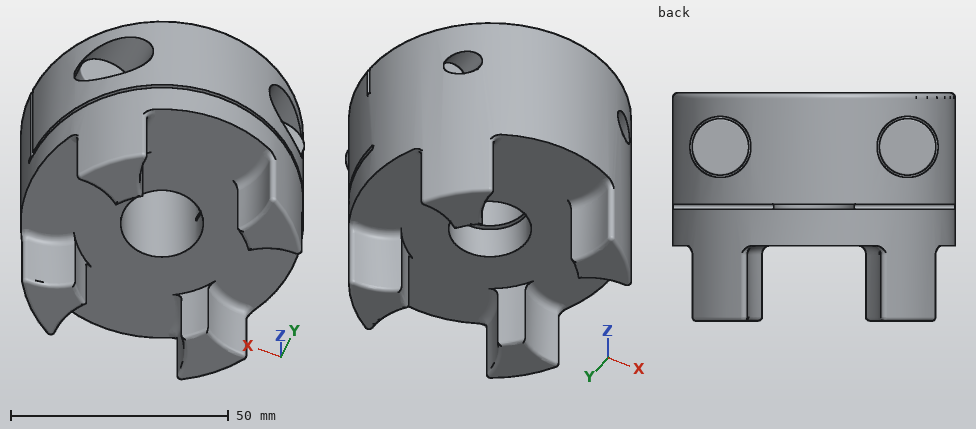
import cadquery as cq
import math

hub_radius = 32.5
total_height = 52.5
rim_fillet = 1.3
bore_radius = 9.5
bore_chamfer = 0.7

jaw_count = 4
jaw_height = 17.3
jaw_inner_radius = 20.4
lobe_radius = 15.35
lobe_center_distance = 26.25
jaw_corner_fillet = 1.0
jaw_tip_fillet = 0.9
jaw_root_fillet = 1.95
flange_radius = hub_radius + 2 * jaw_root_fillet

slot_width = 1.2
slit_z = 26.3
slit_end_y = -2.0
saw_center_x = 5.2
saw_edge_depth = 8.3

screw_x = 21.5
screw_z = total_height - 12.5
shank_radius = 4.0
head_radius = 6.5
head_length = 8.0
head_edge_fillet = 0.4
head_top_y = 18.15
head_seat_y = head_top_y - head_length
screw_end_y = -19.5

counterbore_radius = 7.0
tapped_hole_radius = 3.4


def y_cylinder(radius, x, y_start, y_end):
    """Cylinder parallel to Y at screw height, running from y_start down to y_end."""
    return (
        cq.Workplane("XZ", origin=(x, y_start, screw_z))
        .circle(radius)
        .extrude(y_start - y_end)
    )


def make_jaw_star():
    """Disc with the round lobe gaps cut out; its arms become the jaws."""
    lobes = (
        cq.Workplane("XY")
        .polarArray(lobe_center_distance, 0, 360, jaw_count)
        .circle(lobe_radius)
        .extrude(jaw_height)
    )
    return (
        cq.Workplane("XY")
        .circle(hub_radius)
        .extrude(jaw_height)
        .cut(lobes)
        .edges("|Z")
        .fillet(jaw_corner_fillet)
    )


def make_hub_blank():
    """Solid hub with its four finished jaws, before the bore, slots and screw holes."""
    flange = (
        cq.Workplane("XY", origin=(0, 0, jaw_height))
        .circle(flange_radius)
        .extrude(total_height - jaw_height)
    )

    selection_margin = 0.05
    reach = (hub_radius + flange_radius) / 2
    root_edges = cq.selectors.BoxSelector(
        (-reach, -reach, jaw_height - selection_margin),
        (reach, reach, jaw_height + selection_margin),
        boundingbox=True,
    )
    blank = flange.union(make_jaw_star()).edges(root_edges).fillet(jaw_root_fillet)

    envelope = (
        cq.Workplane("XY")
        .circle(hub_radius)
        .extrude(total_height)
        .faces(">Z")
        .edges()
        .fillet(rim_fillet)
    )
    recess = cq.Workplane("XY").circle(jaw_inner_radius).extrude(jaw_height)
    return (
        blank.intersect(envelope)
        .cut(recess)
        .faces("<Z")
        .edges()
        .fillet(jaw_tip_fillet)
    )


def make_bore():
    """Through bore with a chamfer at the top face."""
    chamfer_bottom = total_height - bore_chamfer
    return (
        cq.Workplane("XZ")
        .lineTo(bore_radius, 0)
        .lineTo(bore_radius, chamfer_bottom)
        .lineTo(bore_radius + bore_chamfer, total_height)
        .lineTo(0, total_height)
        .close()
        .revolve(360, (0, 0, 0), (0, 1, 0))
    )


def make_vertical_slot():
    """Slot on the XZ plane, open into the slit at +X and ending in the saw's arc at -X."""
    edge_z = total_height - saw_edge_depth
    arc_run = saw_center_x + hub_radius
    arc_rise = edge_z - slit_z
    saw_radius = (arc_run**2 + arc_rise**2) / (2 * arc_rise)
    half_angle = math.asin(arc_run / saw_radius) / 2
    arc_middle = (
        saw_center_x - saw_radius * math.sin(half_angle),
        slit_z + saw_radius * (1 - math.cos(half_angle)),
    )
    return (
        cq.Workplane("XZ", origin=(0, slot_width / 2, 0))
        .moveTo(hub_radius, total_height)
        .lineTo(-hub_radius, total_height)
        .lineTo(-hub_radius, edge_z)
        .threePointArc(arc_middle, (saw_center_x, slit_z))
        .lineTo(hub_radius, slit_z)
        .close()
        .extrude(slot_width)
    )


def make_slit():
    """Horizontal slit from the +Y side to just past the axis, with a round end."""
    half_width = slot_width / 2
    round_y = slit_end_y + half_width
    return (
        cq.Workplane("YZ", origin=(-hub_radius, 0, 0))
        .moveTo(hub_radius, slit_z - half_width)
        .lineTo(round_y, slit_z - half_width)
        .threePointArc((slit_end_y, slit_z), (round_y, slit_z + half_width))
        .lineTo(hub_radius, slit_z + half_width)
        .close()
        .extrude(2 * hub_radius)
    )


def make_screw_hole(x):
    """Counterbore at +Y, a fit around the shank, then the tapped hole out to -Y."""
    counterbore = y_cylinder(counterbore_radius, x, hub_radius, head_seat_y)
    shank_hole = y_cylinder(shank_radius, x, head_seat_y, screw_end_y)
    tapped_hole = y_cylinder(tapped_hole_radius, x, screw_end_y, -hub_radius)
    return counterbore.union(shank_hole).union(tapped_hole)


def make_hub():
    """Jaw hub, slotted so that the screws clamp it."""
    hub = make_hub_blank().cut(make_bore()).cut(make_vertical_slot()).cut(make_slit())
    for x in (-screw_x, screw_x):
        hub = hub.cut(make_screw_hole(x))
    return hub


def make_clamp_screw(x):
    """Cylinder-head screw with its head toward +Y."""
    head = (
        y_cylinder(head_radius, x, head_top_y, head_seat_y)
        .faces(">Y")
        .edges()
        .fillet(head_edge_fillet)
    )
    shank = y_cylinder(shank_radius, x, head_seat_y, screw_end_y)
    return head.union(shank)


hub = make_hub()
clamp_screws = []
for side_x in (-screw_x, screw_x):
    clamp_screws.append(make_clamp_screw(side_x).solids().val())

result = cq.Compound.makeCompound([hub.solids().val(), *clamp_screws])